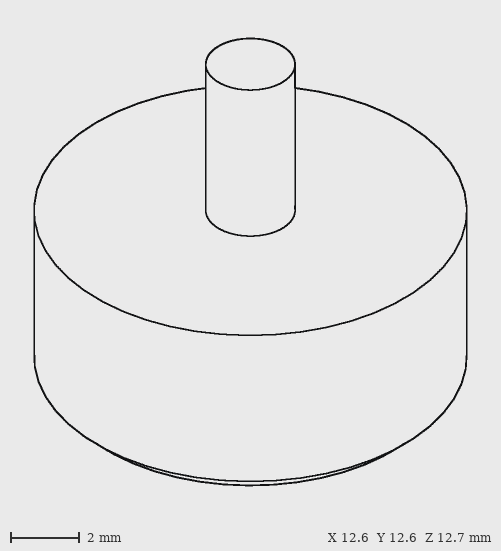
import cadquery as cq

total_height = 12.7
body_diameter = 12.6
pin_diameter = 2.6
pin_length = 5.21
wall_height = 5.21
chamfer = 0.51

body_radius = body_diameter / 2
pin_radius = pin_diameter / 2
body_top = total_height - pin_length
wall_bottom = body_top - wall_height
cone_top = wall_bottom - chamfer

profile = (
    cq.Workplane("XZ")
    .moveTo(0, 0)
    .lineTo(body_radius - chamfer, cone_top)
    .lineTo(body_radius, wall_bottom)
    .lineTo(body_radius, body_top)
    .lineTo(pin_radius, body_top)
    .lineTo(pin_radius, total_height)
    .lineTo(0, total_height)
    .close()
)

result = profile.revolve(360, (0, 0, 0), (0, 1, 0))